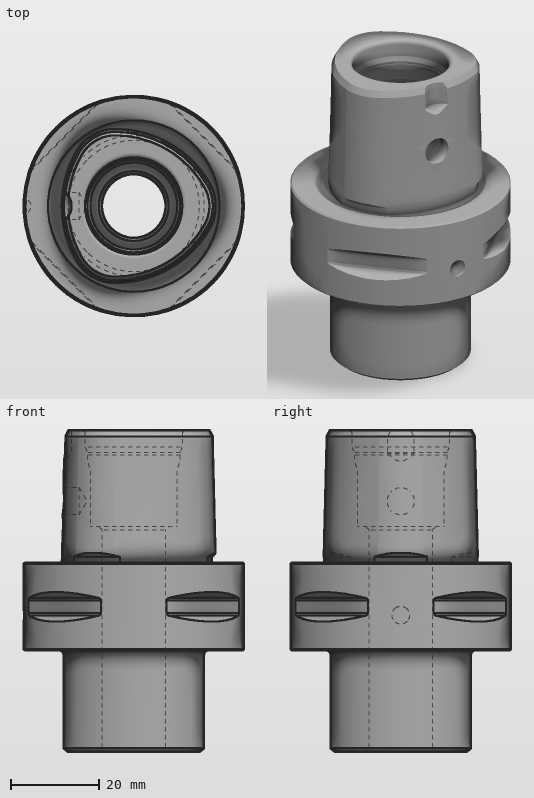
import cadquery as cq
import math

TOTAL_HEIGHT = 73.0
FLANGE_BOTTOM = 23.0
FLANGE_HEIGHT = 20.0
FLANGE_TOP = FLANGE_BOTTOM + FLANGE_HEIGHT

FLANGE_DIAMETER = 50.0
FLANGE_RADIUS = FLANGE_DIAMETER / 2
FLANGE_CHAMFER = 0.4
SPIGOT_RADIUS = 32.0 / 2
SPIGOT_FILLET = 0.9
SPIGOT_CHAMFER_WIDTH = 1.1
SPIGOT_CHAMFER_HEIGHT = 0.9

LOBE_CENTER_DISTANCE = 8.5
LOBE_RADIUS = 10.15
TAPER_RATE = 1 / 40
SHANK_BOTTOM = FLANGE_TOP + 2.1
TIP_CHAMFER_HEIGHT = 1.45
TIP_CHAMFER_WIDTH = 0.8
TIP_CHAMFER_BOTTOM = TOTAL_HEIGHT - TIP_CHAMFER_HEIGHT

RELIEF_INNER_RADIUS = 17.75
RELIEF_OUTER_RADIUS = 38.9 / 2
RELIEF_DEPTH = 0.45
RELIEF_FLOOR = FLANGE_TOP - RELIEF_DEPTH
RELIEF_SHOULDER = SHANK_BOTTOM - 0.9
RELIEF_LIP = 0.1

THROUGH_RADIUS = 14.4 / 2
THROUGH_CHAMFER = 0.7
COUNTERBORE_RADIUS = 9.85
COUNTERBORE_DEPTH = 21.9
SEAT_OUTER_RADIUS = 21.0 / 2
SEAT_INNER_RADIUS = 10.3
SEAT_OUTER_DEPTH = 6.6
SEAT_INNER_DEPTH = 7.6
SEAT_BOTTOM_DEPTH = 9.1
MOUTH_RADIUS = 11.0
MOUTH_EDGE_RADIUS = 24.0 / 2
MOUTH_FILLET = MOUTH_EDGE_RADIUS - MOUTH_RADIUS
MOUTH_BOTTOM_DEPTH = 3.9
RING_GROOVE_RADIUS = 10.8
RING_GROOVE_TOP = 5.05
RING_GROOVE_BOTTOM = 5.7

GROOVE_COUNT = 4
GROOVE_FLAT_DISTANCE = 22.1
GROOVE_FLAT_HEIGHT = 2.9
GROOVE_CORNER_HEIGHT = 3.95
GROOVE_CORNER_DISTANCE = 22.35
GROOVE_MOUTH_HEIGHT = 6.7
GROOVE_HEIGHT_POSITION = 32.9

DRILL_POINT_ANGLE = 118.0
SHANK_HOLE_DIAMETER = 6.1
SHANK_HOLE_HEIGHT = 56.9
SHANK_HOLE_DEPTH = 3.65
FLANGE_HOLE_DIAMETER = 4.0
FLANGE_HOLE_HEIGHT = 31.0
FLANGE_HOLE_DEPTH = 0.7
KEY_NOTCH_DIAMETER = 7.6
KEY_NOTCH_CENTER = 17.9
KEY_NOTCH_POINT_ANGLE = 90.0
KEY_NOTCH_DEPTH = 5.3


def revolve_profile(points):
    """Revolve a closed outline of (radius, height) points about Z."""
    return cq.Workplane("XZ").polyline(points).close().revolve(360, (0, 0, 0), (0, 1, 0))


def lobed_profile(lobe_radius, height):
    """Six tangent arcs: three lobes and three flanks, each flank centred on the opposite lobe."""
    flank_radius = lobe_radius + LOBE_CENTER_DISTANCE * math.sqrt(3)

    def arc_point(center_angle, radius, direction):
        center = math.radians(center_angle)
        heading = math.radians(direction)
        return (
            LOBE_CENTER_DISTANCE * math.cos(center) + radius * math.cos(heading),
            LOBE_CENTER_DISTANCE * math.sin(center) + radius * math.sin(heading),
        )

    profile = cq.Workplane("XY", origin=(0, 0, height)).moveTo(*arc_point(0, lobe_radius, -30))
    for lobe in (0, 120, 240):
        opposite = lobe + 240
        profile = profile.threePointArc(
            arc_point(lobe, lobe_radius, lobe), arc_point(lobe, lobe_radius, lobe + 30)
        )
        profile = profile.threePointArc(
            arc_point(opposite, flank_radius, lobe + 60), arc_point(opposite, flank_radius, lobe + 90)
        )
    return profile.close().wire().val()


def lobed_frustum(bottom_radius, bottom, top_radius, top):
    wires = [lobed_profile(bottom_radius, bottom), lobed_profile(top_radius, top)]
    return cq.Workplane(obj=cq.Solid.makeLoft(wires, True))


def make_body():
    fillet_offset = SPIGOT_FILLET * (1 - math.sqrt(0.5))
    return (
        cq.Workplane("XZ")
        .lineTo(SPIGOT_RADIUS - SPIGOT_CHAMFER_WIDTH, 0)
        .lineTo(SPIGOT_RADIUS, SPIGOT_CHAMFER_HEIGHT)
        .lineTo(SPIGOT_RADIUS, FLANGE_BOTTOM - SPIGOT_FILLET)
        .threePointArc(
            (SPIGOT_RADIUS + fillet_offset, FLANGE_BOTTOM - fillet_offset),
            (SPIGOT_RADIUS + SPIGOT_FILLET, FLANGE_BOTTOM),
        )
        .lineTo(FLANGE_RADIUS - FLANGE_CHAMFER, FLANGE_BOTTOM)
        .lineTo(FLANGE_RADIUS, FLANGE_BOTTOM + FLANGE_CHAMFER)
        .lineTo(FLANGE_RADIUS, FLANGE_TOP - FLANGE_CHAMFER)
        .lineTo(FLANGE_RADIUS - FLANGE_CHAMFER, FLANGE_TOP)
        .lineTo(RELIEF_OUTER_RADIUS, FLANGE_TOP)
        .radiusArc((RELIEF_INNER_RADIUS, RELIEF_FLOOR), RELIEF_OUTER_RADIUS - RELIEF_INNER_RADIUS)
        .lineTo(0, RELIEF_FLOOR)
        .close()
        .revolve(360, (0, 0, 0), (0, 1, 0))
    )


def make_shank():
    tip_radius = LOBE_RADIUS - TAPER_RATE * (TIP_CHAMFER_BOTTOM - SHANK_BOTTOM)
    taper = lobed_frustum(LOBE_RADIUS, SHANK_BOTTOM, tip_radius, TIP_CHAMFER_BOTTOM)
    tip = lobed_frustum(tip_radius, TIP_CHAMFER_BOTTOM, tip_radius - TIP_CHAMFER_WIDTH, TOTAL_HEIGHT)
    root = lobed_frustum(LOBE_RADIUS, RELIEF_FLOOR, LOBE_RADIUS, SHANK_BOTTOM)
    undercut_radius = LOBE_CENTER_DISTANCE + LOBE_RADIUS - RELIEF_LIP
    root_limit = (
        cq.Workplane("XZ")
        .moveTo(0, RELIEF_FLOOR)
        .lineTo(RELIEF_INNER_RADIUS, RELIEF_FLOOR)
        .lineTo(RELIEF_INNER_RADIUS, RELIEF_SHOULDER)
        .lineTo(undercut_radius, SHANK_BOTTOM)
        .lineTo(0, SHANK_BOTTOM)
        .close()
        .revolve(360, (0, 0, 0), (0, 1, 0))
    )
    return taper.union(tip).union(root.intersect(root_limit))


def make_bore():
    steps = [
        (0, TOTAL_HEIGHT),
        (THROUGH_RADIUS, TOTAL_HEIGHT),
        (THROUGH_RADIUS, COUNTERBORE_DEPTH + THROUGH_CHAMFER),
        (THROUGH_RADIUS + THROUGH_CHAMFER, COUNTERBORE_DEPTH),
        (COUNTERBORE_RADIUS, COUNTERBORE_DEPTH),
        (COUNTERBORE_RADIUS, SEAT_BOTTOM_DEPTH),
        (SEAT_INNER_RADIUS, SEAT_INNER_DEPTH),
        (SEAT_OUTER_RADIUS, SEAT_OUTER_DEPTH),
        (SEAT_OUTER_RADIUS, RING_GROOVE_BOTTOM),
        (RING_GROOVE_RADIUS, RING_GROOVE_BOTTOM),
        (RING_GROOVE_RADIUS, RING_GROOVE_TOP),
        (SEAT_OUTER_RADIUS, RING_GROOVE_TOP),
        (MOUTH_RADIUS, MOUTH_BOTTOM_DEPTH),
        (MOUTH_RADIUS, MOUTH_FILLET),
    ]
    return (
        cq.Workplane("XZ")
        .polyline([(radius, TOTAL_HEIGHT - depth) for radius, depth in steps])
        .radiusArc((MOUTH_EDGE_RADIUS, TOTAL_HEIGHT), MOUTH_FILLET)
        .lineTo(0, TOTAL_HEIGHT)
        .close()
        .revolve(360, (0, 0, 0), (0, 1, 0))
    )


def make_gripper_groove(angle):
    """A straight groove with a flat floor, bevelled corners and flared sides, facing the given angle."""
    half_flat = GROOVE_FLAT_HEIGHT / 2
    half_corner = GROOVE_CORNER_HEIGHT / 2
    half_mouth = GROOVE_MOUTH_HEIGHT / 2
    return (
        cq.Workplane("XZ")
        .polyline([
            (GROOVE_FLAT_DISTANCE, GROOVE_HEIGHT_POSITION - half_flat),
            (GROOVE_CORNER_DISTANCE, GROOVE_HEIGHT_POSITION - half_corner),
            (FLANGE_RADIUS, GROOVE_HEIGHT_POSITION - half_mouth),
            (FLANGE_RADIUS, GROOVE_HEIGHT_POSITION + half_mouth),
            (GROOVE_CORNER_DISTANCE, GROOVE_HEIGHT_POSITION + half_corner),
            (GROOVE_FLAT_DISTANCE, GROOVE_HEIGHT_POSITION + half_flat),
        ])
        .close()
        .extrude(FLANGE_RADIUS, both=True)
        .rotate((0, 0, 0), (0, 0, 1), angle)
    )


def make_drill(diameter, depth, overrun, point_angle=DRILL_POINT_ANGLE):
    """A pointed drill along -Z whose full diameter reaches the given depth below the origin."""
    radius = diameter / 2
    point_length = radius / math.tan(math.radians(point_angle / 2))
    return revolve_profile([
        (0, overrun),
        (radius, overrun),
        (radius, -depth),
        (0, -depth - point_length),
    ])


def make_side_drill(diameter, depth, surface_distance, height):
    """A drill entering horizontally from the -X side."""
    drill = make_drill(diameter, depth, diameter)
    return drill.rotate((0, 0, 0), (0, 1, 0), -90).translate((-surface_distance, 0, height))


result = make_body().union(make_shank()).cut(make_bore())

for index in range(GROOVE_COUNT):
    result = result.cut(make_gripper_groove(45 + index * 360 / GROOVE_COUNT))

flank_distance = LOBE_RADIUS + LOBE_CENTER_DISTANCE * (math.sqrt(3) - 1)
shank_hole_surface = flank_distance - TAPER_RATE * (SHANK_HOLE_HEIGHT - SHANK_BOTTOM)
result = result.cut(
    make_side_drill(SHANK_HOLE_DIAMETER, SHANK_HOLE_DEPTH, shank_hole_surface, SHANK_HOLE_HEIGHT)
)
result = result.cut(
    make_side_drill(FLANGE_HOLE_DIAMETER, FLANGE_HOLE_DEPTH, FLANGE_RADIUS, FLANGE_HOLE_HEIGHT)
)

key_notch = make_drill(
    KEY_NOTCH_DIAMETER, KEY_NOTCH_DEPTH, KEY_NOTCH_DIAMETER, KEY_NOTCH_POINT_ANGLE
)
result = result.cut(key_notch.translate((-KEY_NOTCH_CENTER, 0, TOTAL_HEIGHT)))